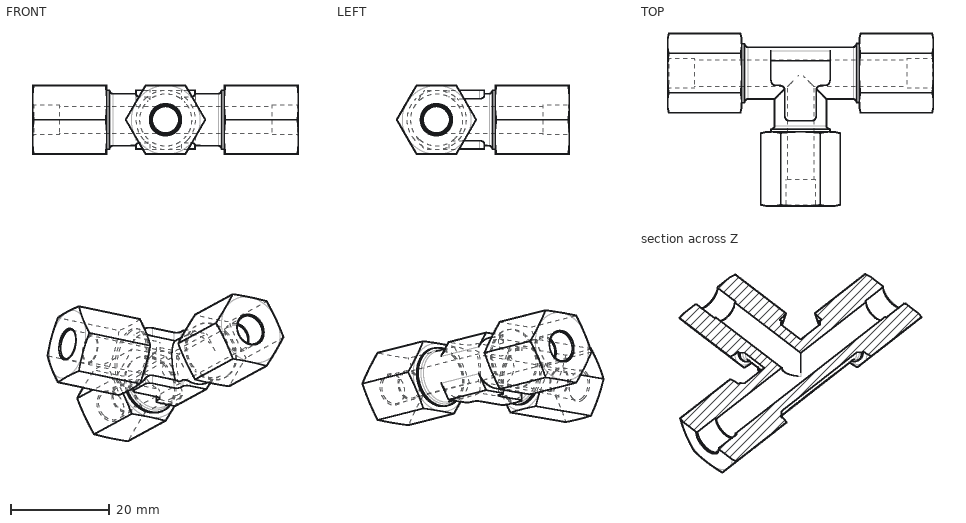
import cadquery as cq
import math

overall_length = 54.0
reach = overall_length / 2
across_flats = 14.0
nut_length = 15.05
nut_chamfer_angle = 13.0
tube_diameter = 10.6
collar_diameter = 12.05
collar_width = 0.5
collar_cone_angle = 60.0
collar_root_radius = 0.55

bore_diameter = 5.4
socket_diameter = 6.0
socket_depth = 5.4
mouth_diameter = 6.5
mouth_depth = 0.25

pad_height = 12.0
pad_width = 12.0
pad_depth = 5.0
stem_width = 6.35
stem_end = 9.7
pad_corner_radius = 1.0

nut_sides = 6
across_corners = across_flats / math.cos(math.pi / nut_sides)
tube_radius = tube_diameter / 2
nut_back = reach - nut_length


def turned(profile):
    """Revolve a closed (radius, height) outline about the Z axis."""
    return profile.close().revolve(360, (0, 0, 0), (0, 1, 0))


def chamfered_nut():
    """Hexagon along Z whose corners are cut back by a shallow cone at both ends."""
    flat_radius = across_flats / 2
    corner_radius = across_corners / 2
    chamfer = (corner_radius - flat_radius) * math.tan(math.radians(nut_chamfer_angle))
    hexagon = (
        cq.Workplane("XY")
        .workplane(offset=nut_back)
        .polygon(nut_sides, across_corners)
        .extrude(nut_length)
    )
    envelope = turned(
        cq.Workplane("XZ")
        .moveTo(0, nut_back)
        .lineTo(flat_radius, nut_back)
        .lineTo(corner_radius, nut_back + chamfer)
        .lineTo(corner_radius, reach - chamfer)
        .lineTo(flat_radius, reach)
        .lineTo(0, reach)
    )
    return hexagon.intersect(envelope)


def tube_and_collar():
    """Tube from the tee centre up to the nut, flaring into the collar against the nut."""
    collar_radius = collar_diameter / 2
    slope = math.radians(collar_cone_angle)
    root_centre_radius = tube_radius + collar_root_radius
    cone_start_radius = root_centre_radius - collar_root_radius * math.cos(slope)
    cone_end = nut_back - collar_width
    cone_start = cone_end - (collar_radius - cone_start_radius) / math.tan(slope)
    root_start = cone_start - collar_root_radius * math.sin(slope)
    root_middle = (
        root_centre_radius - collar_root_radius * math.cos(slope / 2),
        root_start + collar_root_radius * math.sin(slope / 2),
    )
    return turned(
        cq.Workplane("XZ")
        .lineTo(tube_radius, 0)
        .lineTo(tube_radius, root_start)
        .threePointArc(root_middle, (cone_start_radius, cone_start))
        .lineTo(collar_radius, cone_end)
        .lineTo(collar_radius, nut_back)
        .lineTo(0, nut_back)
    )


def arm_bore():
    """Bore from the tee centre, widening to the pipe socket and a tapered mouth."""
    bore_radius = bore_diameter / 2
    socket_radius = socket_diameter / 2
    return turned(
        cq.Workplane("XZ")
        .lineTo(bore_radius, 0)
        .lineTo(bore_radius, reach - socket_depth)
        .lineTo(socket_radius, reach - socket_depth)
        .lineTo(socket_radius, reach - mouth_depth)
        .lineTo(mouth_diameter / 2, reach)
        .lineTo(0, reach)
    )


def on_three_arms(shape):
    """Copy a shape built along +Z onto the -X, +X and -Y arms, with hexagon flats up and down."""
    toward_branch = shape.rotate((0, 0, 0), (1, 0, 0), 90)
    copies = toward_branch
    for turn in (-90, 90):
        copies = copies.union(toward_branch.rotate((0, 0, 0), (0, 0, 1), turn))
    return copies


def forging_pads():
    """T-shaped pads above and below the junction, sloping at the back onto the run tube."""
    half_width = pad_width / 2
    half_height = pad_height / 2
    half_depth = pad_depth / 2
    crossbar = cq.Workplane("XY").box(pad_width, pad_depth, pad_height)
    stem = (
        cq.Workplane("XY")
        .box(stem_width, stem_end, pad_height)
        .translate((0, -stem_end / 2, 0))
    )
    pads = crossbar.union(stem).edges("|Z and (not >Y)").fillet(pad_corner_radius)

    edge_angle = math.atan2(half_height, half_depth)
    tangent_angle = edge_angle - math.acos(tube_radius / math.hypot(half_height, half_depth))
    tangent_y = tube_radius * math.cos(tangent_angle)
    tangent_z = tube_radius * math.sin(tangent_angle)
    back = (
        cq.Workplane("YZ")
        .polyline([
            (0, half_height),
            (half_depth, half_height),
            (tangent_y, tangent_z),
            (tangent_y, -tangent_z),
            (half_depth, -half_height),
            (0, -half_height),
        ])
        .close()
        .extrude(half_width, both=True)
    )
    return pads.union(back)


body = on_three_arms(tube_and_collar()).union(forging_pads())
nuts = on_three_arms(chamfered_nut())
result = body.union(nuts).cut(on_three_arms(arm_bore()))